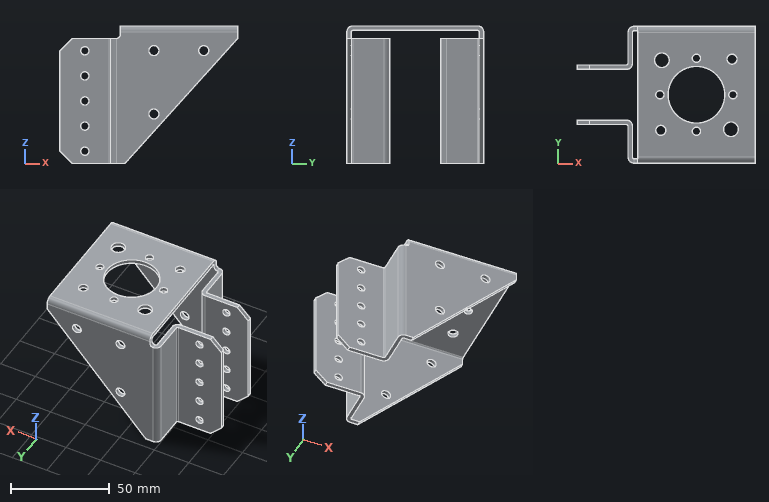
import cadquery as cq

thickness = 2.3
outer_bend = 3.1
inner_bend = outer_bend - thickness

length = 90.1
width = 69.35
height = 69.7
half_width = width / 2

flange_height = 63.4
flange_gap = 25.6
flange_chamfer = 6.3
web_front = 25.7
web_back = web_front + thickness
wall_start = web_front + outer_bend
flange_hole_diameter = 4.05
flange_hole_pitch = 12.7
flange_hole_count = 5
flange_hole_x = 12.7

plate_front = 30.5
relief_radius = plate_front - wall_start
wall_foot_x = 33.0
wall_tip_z = 63.3
wall_hole_diameter = 4.95
wall_hole_points = [(47.6, 57.2), (72.9, 57.2), (47.6, 25.1)]

plate_center_x = (plate_front + length) / 2
bore_diameter = 28.55
small_hole_diameter = 4.05
small_hole_offset = 18.5
medium_hole_diameter = 4.95
medium_hole_offset = 18.0
large_hole_diameter = 7.3
large_hole_offset = 17.5


def make_channel():
    """Top plate with both side walls, trimmed to the side outline."""
    run = length - wall_start
    outside = (
        cq.Workplane("YZ", origin=(wall_start, 0, 0))
        .rect(width, 2 * height)
        .extrude(run)
        .edges("|X and >Z")
        .fillet(outer_bend)
    )
    inside = (
        cq.Workplane("YZ", origin=(wall_start, 0, 0))
        .rect(width - 2 * thickness, 2 * (height - thickness))
        .extrude(run)
        .edges("|X and >Z")
        .fillet(inner_bend)
    )
    side_outline = (
        cq.Workplane("XZ")
        .moveTo(wall_start, 0)
        .lineTo(wall_foot_x, 0)
        .lineTo(length, wall_tip_z)
        .lineTo(length, height)
        .lineTo(plate_front, height)
        .lineTo(plate_front, flange_height + relief_radius)
        .radiusArc((wall_start, flange_height), relief_radius)
        .close()
        .extrude(half_width, both=True)
    )
    return outside.cut(inside).intersect(side_outline)


def make_wing():
    """Flange and web on the +Y side, bent into a Z and joined to the wall."""
    flange_inner = flange_gap / 2
    flange_outer = flange_inner + thickness
    wall_inner = half_width - thickness
    wing = (
        cq.Workplane("XY")
        .moveTo(0, flange_inner)
        .lineTo(web_back - outer_bend, flange_inner)
        .radiusArc((web_back, flange_inner + outer_bend), -outer_bend)
        .lineTo(web_back, wall_inner - inner_bend)
        .radiusArc((wall_start, wall_inner), inner_bend)
        .lineTo(wall_start, half_width)
        .radiusArc((web_front, half_width - outer_bend), -outer_bend)
        .lineTo(web_front, flange_outer + inner_bend)
        .radiusArc((web_front - inner_bend, flange_outer), inner_bend)
        .lineTo(0, flange_outer)
        .close()
        .extrude(flange_height)
    )
    return wing.edges("|Y and <X").chamfer(flange_chamfer)


def drill_along_y(body, points, diameter):
    """Drill holes at (x, z) points through the full width."""
    drills = cq.Workplane("XZ").pushPoints(points).circle(diameter / 2).extrude(half_width, both=True)
    return body.cut(drills)


def drill_top(body, offsets, diameter):
    """Drill the top plate at offsets from its center."""
    drills = (
        cq.Workplane("XY", origin=(plate_center_x, 0, height))
        .pushPoints(offsets)
        .circle(diameter / 2)
        .extrude(-thickness)
    )
    return body.cut(drills)


wing = make_wing()
bracket = make_channel().union(wing).union(wing.mirror("XZ"))

middle_index = (flange_hole_count - 1) / 2
flange_hole_points = [
    (flange_hole_x, flange_height / 2 + (index - middle_index) * flange_hole_pitch)
    for index in range(flange_hole_count)
]
bracket = drill_along_y(bracket, flange_hole_points, flange_hole_diameter)
bracket = drill_along_y(bracket, wall_hole_points, wall_hole_diameter)

bracket = drill_top(bracket, [(0, 0)], bore_diameter)
for side in (-1, 1):
    small_offset = side * small_hole_offset
    medium_offset = side * medium_hole_offset
    large_offset = side * large_hole_offset
    bracket = drill_top(bracket, [(small_offset, 0), (0, small_offset)], small_hole_diameter)
    bracket = drill_top(bracket, [(medium_offset, medium_offset)], medium_hole_diameter)
    bracket = drill_top(bracket, [(large_offset, -large_offset)], large_hole_diameter)

result = bracket